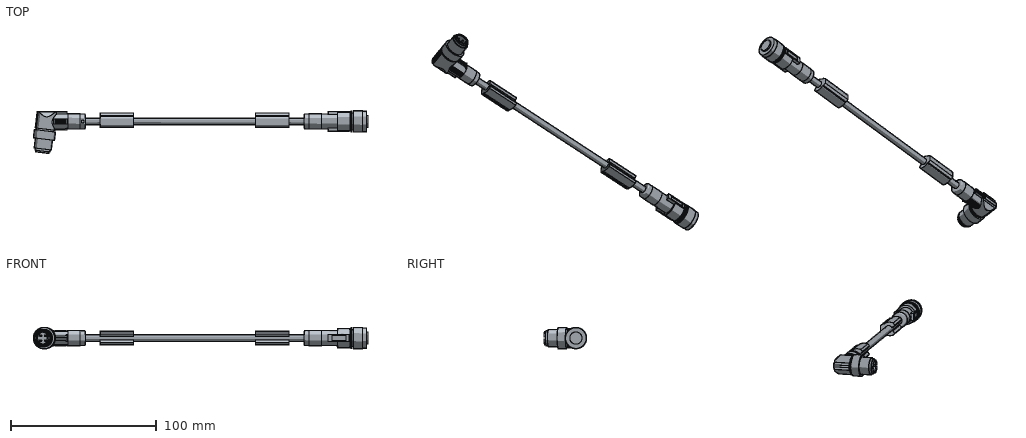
import cadquery as cq
import math

total_length = 229.77
cable_radius = 2.35
cable_overlap = 1.0
body_radius = 5.25
nut_radius = 7.38

entry_length = 3.5
entry_rounding = 0.9
collar_length = 8.4
collar_step = 0.1
angled_body_end = 35.7
straight_body_start = 185.8

sleeve_start = 208.7
sleeve_end = 217.1
sleeve_radius = 6.7
ring_start = 218.0
ring_end = 218.7
ring_radius = 7.2
neck_radius = 5.9
socket_nut_start = 219.5
socket_rim_start = 225.9
socket_rim_end = 228.7
socket_rim_radius = 7.1
socket_insert_radius = 4.2

grip_start = 202.3
grip_end = 216.6
grip_reach = 6.9
grip_width = 4.8
grip_pocket_start = 205.0
grip_pocket_end = 214.6
grip_pocket_width = 3.4
grip_pocket_depth = 0.4

plug_lean = 7.0
plug_axis_x = nut_radius + 1.43
elbow_radius = 6.65
elbow_back_radius = 7.35
elbow_back_y = 6.5
elbow_length = 5.3
plug_neck_radius = 6.2
plug_nut_start = 6.5
plug_nut_end = 12.2
thread_radius = 6.0
thread_end = 19.0
lead_radius = 5.3
lead_end = 20.5
tongue_radius = 4.6
plug_end = 21.62
plug_bore_radius = 4.1
plug_bore_depth = 7.0
tongue_slot_width = 1.2
contact_count = 4
contact_start_angle = 45.0
contact_circle_radius = 2.4
contact_radius = 0.5
contact_length = 5.0
key_width = 1.2
key_height = 0.9

back_rib_width = 5.0
back_rib_reach = 0.3
back_groove_width = 1.4
arm_start = 14.0
arm_end = 23.2
arm_pad_width = 3.0
arm_pad_reach = 6.0
arm_groove_width = 1.0
arm_flare_length = 3.6
arm_flare_width = 5.0
back_pad_start = 2.6
back_pad_reach = 6.8
arm_pocket_width = 3.5
arm_pocket_depth = 0.8
arm_pocket_ribs = 6
arm_rib_width = 0.6
mark_radius = 1.0
mark_depth = 0.6

label_starts = (45.8, 152.4)
label_length = 23.1
label_crown_y = -0.7
label_crown_z = 4.75
label_crown_radius = 6.2
label_shoulder_y = -3.1
label_lip_y = -4.2
label_mouth_width = 5.8
label_throat_y = -3.0
label_throat_width = 2.4
label_ledge_start_y = 3.3
label_ledge_end_y = 4.2
label_back_y = 5.85
label_back_width = 4.2


def rod(start, end, radius):
    """Cylinder along the X axis."""
    return cq.Workplane("YZ").workplane(offset=start).circle(radius).extrude(end - start)


def block(x_range, y_range, z_range):
    """Box between pairs of limits."""
    sizes = [b - a for a, b in (x_range, y_range, z_range)]
    return cq.Workplane("XY").box(*sizes, centered=False).translate((x_range[0], y_range[0], z_range[0]))


def strain_relief(cable_end, direction, plain_end):
    """Rounded entry, collar and plain stretch; direction is +1 or -1 along X."""
    entry_end = cable_end + direction * entry_length
    collar_end = entry_end + direction * collar_length
    entry = rod(min(cable_end, entry_end), max(cable_end, entry_end), body_radius)
    entry = entry.faces("<X" if direction > 0 else ">X").edges().fillet(entry_rounding)
    collar = rod(min(entry_end, collar_end), max(entry_end, collar_end), body_radius + collar_step)
    plain = rod(min(collar_end, plain_end), max(collar_end, plain_end), body_radius)
    return entry.union(collar).union(plain)


def straight_socket():
    socket = strain_relief(straight_body_start, 1, sleeve_start)
    stages = (
        (sleeve_start, sleeve_end, sleeve_radius),
        (sleeve_end, socket_nut_start, neck_radius),
        (ring_start, ring_end, ring_radius),
        (socket_nut_start, socket_rim_start, nut_radius),
        (socket_rim_start, socket_rim_end, socket_rim_radius),
        (socket_rim_end, total_length, socket_insert_radius),
    )
    for start, end, radius in stages:
        socket = socket.union(rod(start, end, radius))
    pad_z = (-grip_width / 2, grip_width / 2)
    pocket_z = (-grip_pocket_width / 2, grip_pocket_width / 2)
    pad = block((grip_start, grip_end), (-grip_reach, grip_reach), pad_z)
    socket = socket.union(pad)
    pocket_x = (grip_pocket_start, grip_pocket_end)
    pocket_floor = grip_reach - grip_pocket_depth
    socket = socket.cut(block(pocket_x, (pocket_floor, nut_radius), pocket_z))
    return socket.cut(block(pocket_x, (-nut_radius, -pocket_floor), pocket_z))


def elbow_arm():
    """Arm between the elbow and the cable, with grip pads and ribbed pockets."""
    arm = strain_relief(angled_body_end, -1, plug_axis_x)
    pad_z = (-arm_pad_width / 2, arm_pad_width / 2)
    arm = arm.union(block((arm_start, arm_end), (-arm_pad_reach, 0), pad_z))
    arm = arm.union(block((back_pad_start, arm_end), (0, back_pad_reach), pad_z))
    flare = (
        cq.Workplane("XZ")
        .moveTo(arm_end - arm_flare_length, 0)
        .lineTo(arm_end, arm_flare_width / 2)
        .lineTo(arm_end, -arm_flare_width / 2)
        .close().extrude(arm_pad_reach)
    )
    arm = arm.union(flare)
    groove_z = (-arm_groove_width / 2, arm_groove_width / 2)
    arm = arm.cut(block((arm_start, arm_end), (-arm_pad_reach, -body_radius), groove_z))
    arm = arm.cut(block((arm_start, arm_end), (arm_pad_reach, back_pad_reach), groove_z))
    pocket_y = (-arm_pocket_width / 2, arm_pocket_width / 2)
    pocket_floor = body_radius - arm_pocket_depth
    pitch = (arm_end - arm_start) / (arm_pocket_ribs + 1)
    for low, high in ((pocket_floor, body_radius), (-body_radius, -pocket_floor)):
        pocket = block((arm_start, arm_end), pocket_y, (low, high))
        for number in range(1, arm_pocket_ribs + 1):
            rib_start = arm_start + number * pitch - arm_rib_width / 2
            pocket = pocket.cut(block((rib_start, rib_start + arm_rib_width), pocket_y, (low, high)))
        arm = arm.cut(pocket)
    mark = cq.Workplane("XY").workplane(offset=body_radius - mark_depth)
    mark_x = angled_body_end - entry_length / 2
    return arm.cut(mark.center(mark_x, 0).circle(mark_radius).extrude(nut_radius))


def plug_rod(start, end, radius):
    """Cylinder along -Y from the plug origin, before the plug is leaned over."""
    return cq.Workplane("XZ").workplane(offset=start).circle(radius).extrude(end - start)


def angled_plug():
    plug = plug_rod(-nut_radius, elbow_length, elbow_radius)
    half_rib = back_rib_width / 2
    rib_x = (-elbow_radius - back_rib_reach, 0)
    rib_y = (-elbow_length + back_rib_reach, nut_radius)
    plug = plug.union(block(rib_x, rib_y, (-half_rib, half_rib)))
    half_groove = back_groove_width / 2
    groove_x = (-nut_radius, -elbow_radius)
    plug = plug.cut(block(groove_x, rib_y, (-half_groove, half_groove)))

    stages = (
        (0, plug_nut_start, plug_neck_radius),
        (plug_nut_start, plug_nut_end, nut_radius),
        (plug_nut_end, thread_end, thread_radius),
        (thread_end, lead_end, lead_radius),
        (lead_end, plug_end, tongue_radius),
    )
    for start, end, radius in stages:
        plug = plug.union(plug_rod(start, end, radius))
    bore_floor = plug_end - plug_bore_depth
    plug = plug.cut(plug_rod(bore_floor, plug_end, plug_bore_radius))
    half_slot = tongue_slot_width / 2
    plug = plug.cut(block((-tongue_radius, tongue_radius), (-plug_end, -lead_end), (-half_slot, half_slot)))
    contacts = (
        cq.Workplane("XZ").workplane(offset=bore_floor)
        .polarArray(contact_circle_radius, contact_start_angle, 360, contact_count)
        .circle(contact_radius).extrude(contact_length)
    )
    key_x = (plug_bore_radius - key_height, tongue_radius)
    key = block(key_x, (-lead_end, -bore_floor), (-key_width / 2, key_width / 2))
    plug = plug.union(contacts).union(key)
    plug = plug.rotate((0, 0, 0), (0, 0, 1), -plug_lean).translate((plug_axis_x, 0, 0))
    plug_x = (-nut_radius, plug_axis_x + 2 * nut_radius)
    front_room = block(plug_x, (-2 * plug_end, 0), (-nut_radius, nut_radius))
    back_room = block(plug_x, (0, elbow_back_y), (-nut_radius, nut_radius))
    rounded_back = rod(*plug_x, elbow_back_radius).intersect(back_room)
    return plug.intersect(rounded_back.union(front_room))


def crown_height(y):
    """Height of the label holder's bowed top at y."""
    drop = label_crown_radius - math.sqrt(label_crown_radius**2 - (y - label_crown_y) ** 2)
    return label_crown_z - drop


def label_holder(start):
    """Bowed sleeve around the cable with a flared mouth towards -Y and a bevelled back."""
    half_mouth = label_mouth_width / 2
    half_throat = label_throat_width / 2
    half_back = label_back_width / 2
    ledge_z = crown_height(label_ledge_start_y)
    shoulder_z = crown_height(label_shoulder_y)
    outline = (
        cq.Workplane("YZ").workplane(offset=start)
        .moveTo(label_back_y, -half_back)
        .lineTo(label_back_y, half_back)
        .lineTo(label_ledge_end_y, ledge_z)
        .lineTo(label_ledge_start_y, ledge_z)
        .threePointArc((label_crown_y, label_crown_z), (label_shoulder_y, shoulder_z))
        .lineTo(label_lip_y, half_mouth)
        .lineTo(label_throat_y, half_throat)
        .lineTo(0, half_throat)
        .lineTo(0, -half_throat)
        .lineTo(label_throat_y, -half_throat)
        .lineTo(label_lip_y, -half_mouth)
        .lineTo(label_shoulder_y, -shoulder_z)
        .threePointArc((label_crown_y, -label_crown_z), (label_ledge_start_y, -ledge_z))
        .lineTo(label_ledge_end_y, -ledge_z)
        .close()
    )
    return outline.extrude(label_length)


result = rod(angled_body_end - cable_overlap, straight_body_start + cable_overlap, cable_radius)
result = result.union(straight_socket()).union(elbow_arm()).union(angled_plug())
for label_start in label_starts:
    result = result.union(label_holder(label_start))